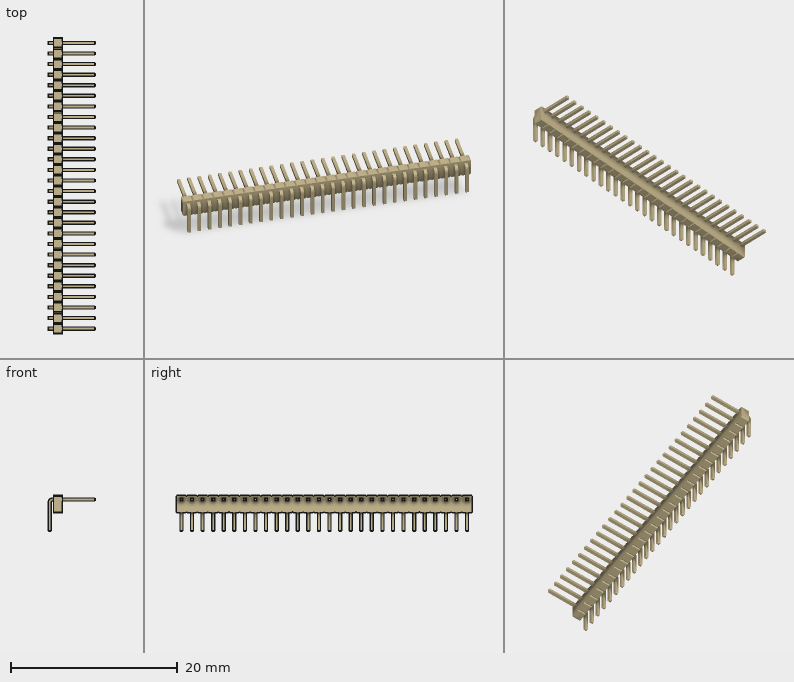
import cadquery as cq
import math

pin_count = 28
row_length = 35.55
pitch = row_length / pin_count

body_depth = 1.05
body_height = 2.15
block_chamfer = 0.125

overall_depth = 5.7
overall_height = 4.35
pin_thickness = 0.4
bend_outer_radius = 0.57
bend_inner_radius = bend_outer_radius - pin_thickness
tip_chamfer = 0.1
body_gap = 0.25
pin_drop = 0.32

leg_back = -overall_depth / 2
pin_tip_x = overall_depth / 2
body_back = leg_back + pin_thickness + body_gap
body_bottom = overall_height - body_height
pin_top = overall_height - pin_drop


def body_block(y_center):
    """Body segment around one pin, with its long edges along X chamfered."""
    return (
        cq.Workplane("XY")
        .box(body_depth, pitch, body_height, centered=(False, True, False))
        .edges("|X")
        .chamfer(block_chamfer)
        .translate((body_back, y_center, body_bottom))
    )


def bent_pin(y_center):
    """Square pin: vertical leg, quarter-round bend and horizontal leg."""
    bend_x = leg_back + bend_outer_radius
    bend_z = pin_top - bend_outer_radius
    diagonal = math.cos(math.radians(45))
    outer_mid = (bend_x - bend_outer_radius * diagonal, bend_z + bend_outer_radius * diagonal)
    inner_mid = (bend_x - bend_inner_radius * diagonal, bend_z + bend_inner_radius * diagonal)
    return (
        cq.Workplane("XZ")
        .moveTo(leg_back, 0)
        .lineTo(leg_back, bend_z)
        .threePointArc(outer_mid, (bend_x, pin_top))
        .lineTo(pin_tip_x, pin_top)
        .lineTo(pin_tip_x, pin_top - pin_thickness)
        .lineTo(bend_x, pin_top - pin_thickness)
        .threePointArc(inner_mid, (leg_back + pin_thickness, bend_z))
        .lineTo(leg_back + pin_thickness, 0)
        .close()
        .extrude(pin_thickness / 2, both=True)
        .faces("<Z or >X")
        .chamfer(tip_chamfer)
        .translate((0, y_center, 0))
    )


first_pin_y = -(row_length - pitch) / 2
segments = []
for index in range(pin_count):
    pin_y = first_pin_y + index * pitch
    segments.append(body_block(pin_y).union(bent_pin(pin_y)).val())

result = cq.Workplane(obj=segments[0].fuse(*segments[1:]).clean())